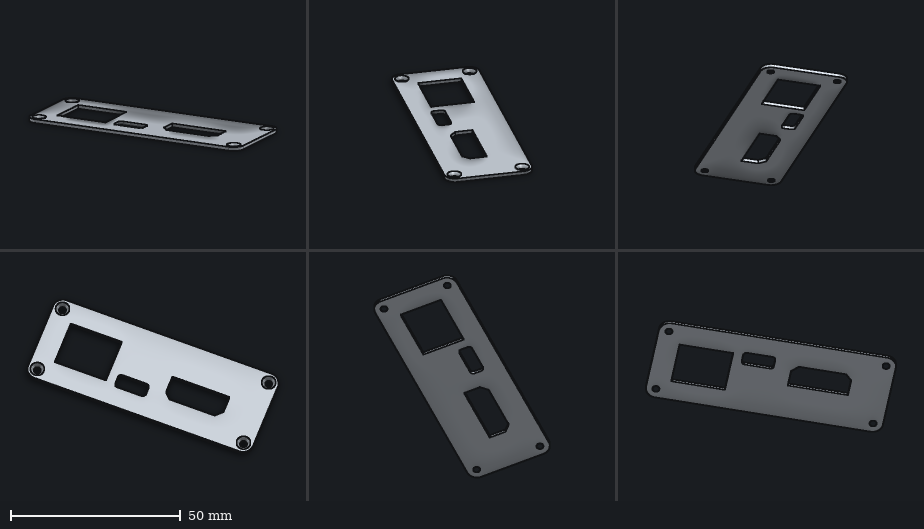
import cadquery as cq

length = 71.0
width = 26.5
thickness = 1.2
corner_radius = 3.2

hole_inset = 3.0
hole_diameter = 2.0
countersink_diameter = 4.1
countersink_angle = 90

window_length = 16.05
window_width = 13.05
window_center = (-20.5, 0.2)

port_length = 9.6
port_width = 4.1
port_radius = 1.0
port_center = (-4.7, -5.1)

connector_length = 17.95
connector_width = 7.0
connector_corner = 1.9
connector_center = (14.4, -1.7)


def block(block_length, block_width, center=(0, 0)):
    """Box through the full plate thickness."""
    return cq.Workplane("XY").center(*center).rect(block_length, block_width).extrude(thickness)


def make_plate():
    plate = block(length, width).edges("|Z").fillet(corner_radius)
    return (
        plate.faces(">Z").workplane()
        .rect(length - 2 * hole_inset, width - 2 * hole_inset, forConstruction=True)
        .vertices()
        .cskHole(hole_diameter, countersink_diameter, countersink_angle)
    )


window = block(window_length, window_width, window_center)
port = block(port_length, port_width, port_center).edges("|Z").fillet(port_radius)
connector = (
    block(connector_length, connector_width, connector_center)
    .edges("|Z and <Y").chamfer(connector_corner)
)

result = make_plate().cut(window).cut(port).cut(connector)